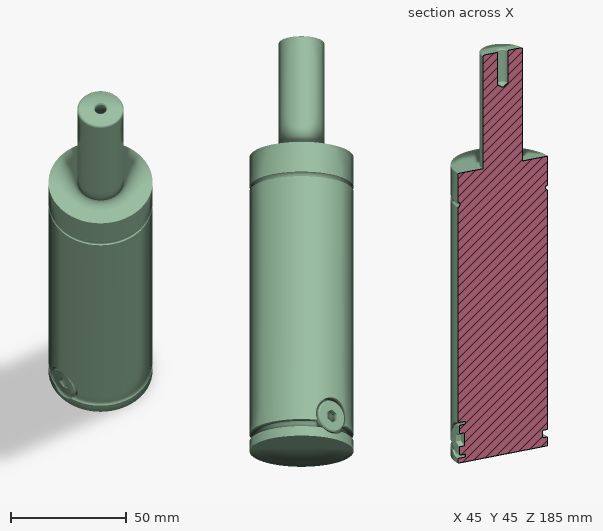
import cadquery as cq
import math

total_height = 185.0
body_diameter = 45.0
rod_diameter = 20.0
rod_stroke = 52.0
rod_edge_radius = 1.0
body_height = total_height - rod_stroke
body_radius = body_diameter / 2
rod_radius = rod_diameter / 2

base_flange_height = 4.3
retaining_groove_width = 3.2
retaining_groove_depth = 2.5

head_height = 13.5
head_groove_width = 2.0
head_groove_depth = 1.0

rod_hole_diameter = 5.0
rod_hole_mouth_diameter = 6.0
rod_hole_depth = 15.0
drill_point_angle = 118.0

plug_diameter = 14.0
plug_rim_chamfer = 0.5
plug_height = 10.5
plug_face_offset = 21.8
recess_diameter = 16.2
recess_floor_offset = 18.8
hex_across_flats = 5.0
hex_depth = 2.5


def make_body():
    """Cylinder barrel with its two turned grooves, revolved about Z."""
    groove_floor_radius = body_radius - retaining_groove_depth
    groove_top = base_flange_height + retaining_groove_width
    head_bottom = body_height - head_height
    head_groove_bottom = head_bottom - head_groove_width
    head_groove_middle = (head_bottom + head_groove_bottom) / 2
    return (
        cq.Workplane("XZ")
        .moveTo(0, 0)
        .lineTo(body_radius, 0)
        .lineTo(body_radius, base_flange_height)
        .lineTo(groove_floor_radius, base_flange_height)
        .lineTo(groove_floor_radius, groove_top)
        .lineTo(body_radius, groove_top)
        .lineTo(body_radius, head_groove_bottom)
        .threePointArc(
            (body_radius - head_groove_depth, head_groove_middle),
            (body_radius, head_bottom),
        )
        .lineTo(body_radius, body_height)
        .lineTo(0, body_height)
        .close()
        .revolve(360, (0, 0, 0), (0, 1, 0))
    )


def make_rod():
    """Piston rod with a rounded end edge, starting on top of the body."""
    rod = cq.Workplane("XY").workplane(offset=body_height).circle(rod_radius).extrude(rod_stroke)
    return rod.faces(">Z").edges().fillet(rod_edge_radius)


def make_rod_hole():
    """Blind drilled hole with a 45 degree mouth chamfer and a conical bottom."""
    hole_radius = rod_hole_diameter / 2
    mouth_radius = rod_hole_mouth_diameter / 2
    mouth_depth = mouth_radius - hole_radius
    hole_bottom = total_height - rod_hole_depth
    point_depth = hole_radius / math.tan(math.radians(drill_point_angle / 2))
    return (
        cq.Workplane("XZ")
        .moveTo(0, total_height)
        .lineTo(mouth_radius, total_height)
        .lineTo(hole_radius, total_height - mouth_depth)
        .lineTo(hole_radius, hole_bottom)
        .lineTo(0, hole_bottom - point_depth)
        .close()
        .revolve(360, (0, 0, 0), (0, 1, 0))
    )


def plug_plane(distance_from_axis):
    """Workplane facing -Y, centred on the plug axis."""
    return cq.Workplane("XZ", origin=(0, -distance_from_axis, plug_height))


def make_plug_recess():
    """Flat-bottomed round recess cut into the barrel wall around the plug."""
    recess_depth = body_radius - recess_floor_offset
    return plug_plane(recess_floor_offset).circle(recess_diameter / 2).extrude(recess_depth)


def make_plug():
    """Filling plug with a chamfered rim and a hexagon socket, standing on the recess floor."""
    plug_length = plug_face_offset - recess_floor_offset
    plug = plug_plane(recess_floor_offset).circle(plug_diameter / 2).extrude(plug_length)
    plug = plug.faces("<Y").edges().chamfer(plug_rim_chamfer)
    socket = (
        plug_plane(plug_face_offset - hex_depth)
        .polygon(6, hex_across_flats, circumscribed=True)
        .extrude(hex_depth)
    )
    return plug.cut(socket)


body = make_body().cut(make_plug_recess()).union(make_plug())
result = body.union(make_rod()).cut(make_rod_hole())